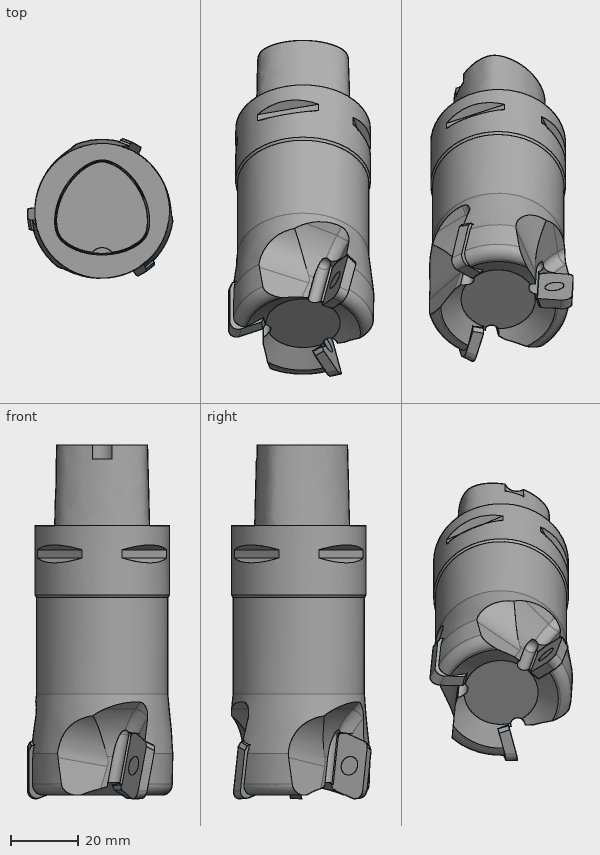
import cadquery as cq
import math

TOTAL_LENGTH = 105.01
SHANK_LENGTH = 24.0
COLLAR_EDGE_Z = -20.5
NECK_TOP_Z = -21.3
FLARE_TOP_Z = -49.9
FLARE_END_Z = -67.5
RIM_Z = -79.9
TIP_Z = SHANK_LENGTH - TOTAL_LENGTH

COLLAR_RADIUS = 40.0 / 2
NECK_RADIUS = 39.0 / 2
HEAD_RADIUS = 21.22
RIM_RADIUS = 20.9
RIM_FILLET = 3.3
DISH_RADIUS = 17.0
DISH_FLOOR_RADIUS = 11.0
DISH_FLOOR_Z = -76.2

SHANK_MEAN_RADIUS = 14.1
LOBE_HEIGHT = 1.0
LOBES = 3
LOBE_POINTS = 24
LOBE_AZIMUTH = math.radians(90.0)
SHANK_TAPER = 0.6
NOTCH_RADIUS = 3.6
NOTCH_CENTER_Y = -14.5
NOTCH_DEPTH = 4.15

GRIP_COUNT = 4
GRIP_FLOOR = 17.7
GRIP_CENTER_Z = -8.35
GRIP_FLOOR_HEIGHT = 2.4
GRIP_MOUTH_HEIGHT = 5.3

STATIONS = 3
STATION_ANGLE = 360.0 / STATIONS
OVERSIZE = 30.0

AXIAL_RAKE = math.radians(12.0)
TIP_Y = 0.91
RAKE_PLANE = cq.Plane(
    origin=(0, TIP_Y, TIP_Z),
    xDir=(-1, 0, 0),
    normal=(0, math.cos(AXIAL_RAKE), math.sin(AXIAL_RAKE)),
)

CUTTING_RADIUS = 22.1
INSERT_CENTER = (16.67, 10.05)
INSERT_END_ANGLE = math.radians(21.0)
INSERT_NOSE = 2.35
INSERT_CHAMFER = 0.7
INSERT_CHAMFER_HEIGHT = 1.4
INSERT_THICKNESS = 3.25
SIDE_RELIEF = math.radians(8.0)
END_RELIEF = math.radians(15.0)
SCREW_DIAMETER = 5.6

GULLET_AZIMUTH = 165.0
GULLET_FLOOR = 12.7
GULLET_LEAN = 5.0
GULLET_TILT = 9.8
GULLET_ARC_START_Z = -71.7
GULLET_ARC_RADIUS = 16.0

POCKET_WALL = 11.8
POCKET_KNEE_Z = -60.2
POCKET_SLOPE = math.radians(45.0)
POCKET_BEND = 20.0
POCKET_DEPTH = 45.0
POCKET_FILLET = 3.0
CORNER_TOP = 19.8

RELIEF_RADIUS = 4.1 / 2
RELIEF_OFFSET = 2.8
RELIEF_WALL = 11.6
RELIEF_TOP = 21.3


def around_axis(workplane, index, step=STATION_ANGLE):
    return workplane.rotate((0, 0, 0), (0, 0, 1), index * step)


def lobed_section(z, mean_radius):
    """Closed curve of constant width with three lobes, one of them toward +Y."""

    def point(t):
        angle = 2 * math.pi * t
        phase = LOBES * (angle - LOBE_AZIMUTH)
        support = mean_radius + LOBE_HEIGHT * math.cos(phase)
        slope = -LOBES * LOBE_HEIGHT * math.sin(phase)
        return (
            support * math.cos(angle) - slope * math.sin(angle),
            support * math.sin(angle) + slope * math.cos(angle),
            z,
        )

    points = [cq.Vector(*point(i / LOBE_POINTS)) for i in range(LOBE_POINTS)]
    edge = cq.Edge.makeSpline(points, periodic=True)
    return cq.Wire.assembleEdges([edge])


def make_shank():
    base = lobed_section(0, SHANK_MEAN_RADIUS)
    end = lobed_section(SHANK_LENGTH, SHANK_MEAN_RADIUS - SHANK_TAPER)
    shank = cq.Workplane(obj=cq.Solid.makeLoft([base, end], True))
    notch = (
        cq.Workplane("XY", origin=(0, NOTCH_CENTER_Y, SHANK_LENGTH))
        .circle(NOTCH_RADIUS)
        .extrude(-NOTCH_DEPTH)
    )
    return shank.cut(notch)


def make_blank():
    """Collar, neck and flared head, hollowed at the cutting end by a shallow dish."""
    nose = RIM_FILLET * (1 - math.sqrt(0.5))
    return (
        cq.Workplane("XZ")
        .moveTo(0, 0)
        .lineTo(COLLAR_RADIUS, 0)
        .lineTo(COLLAR_RADIUS, COLLAR_EDGE_Z)
        .lineTo(NECK_RADIUS, NECK_TOP_Z)
        .lineTo(NECK_RADIUS, FLARE_TOP_Z)
        .lineTo(HEAD_RADIUS, FLARE_END_Z)
        .lineTo(RIM_RADIUS, RIM_Z + RIM_FILLET)
        .threePointArc((RIM_RADIUS - nose, RIM_Z + nose), (RIM_RADIUS - RIM_FILLET, RIM_Z))
        .lineTo(DISH_RADIUS, RIM_Z)
        .lineTo(DISH_FLOOR_RADIUS, DISH_FLOOR_Z)
        .lineTo(0, DISH_FLOOR_Z)
        .close()
        .revolve(360, (0, 0, 0), (0, 1, 0))
    )


def make_grip_groove():
    """Straight trapezoidal groove across the +X side of the collar."""
    outside = COLLAR_RADIUS + OVERSIZE
    low = GRIP_CENTER_Z - GRIP_MOUTH_HEIGHT / 2
    return (
        cq.Workplane("XZ")
        .moveTo(GRIP_FLOOR, GRIP_CENTER_Z - GRIP_FLOOR_HEIGHT / 2)
        .lineTo(COLLAR_RADIUS, low)
        .lineTo(outside, low)
        .lineTo(outside, low + GRIP_MOUTH_HEIGHT)
        .lineTo(COLLAR_RADIUS, low + GRIP_MOUTH_HEIGHT)
        .lineTo(GRIP_FLOOR, GRIP_CENTER_Z + GRIP_FLOOR_HEIGHT / 2)
        .close()
        .extrude(COLLAR_RADIUS, both=True)
    )


def make_rake_clearance():
    """Block covering the space in front of the rake face."""
    side = 4 * OVERSIZE
    return cq.Workplane(RAKE_PLANE).rect(side, side).extrude(POCKET_DEPTH)


def make_gullet():
    """Cutter for the chip gullet, swept along a line that drops toward the insert."""
    arc_mid = GULLET_ARC_RADIUS * math.sqrt(0.5)
    center = GULLET_FLOOR + GULLET_ARC_RADIUS
    profile = (
        cq.Workplane("XZ")
        .moveTo(GULLET_FLOOR, -OVERSIZE)
        .lineTo(GULLET_FLOOR, 0)
        .threePointArc((center - arc_mid, arc_mid), (center, GULLET_ARC_RADIUS))
        .lineTo(center, -OVERSIZE)
        .close()
        .extrude(OVERSIZE, both=True)
    )
    return (
        profile.rotate((GULLET_FLOOR, 0, 0), (GULLET_FLOOR, 1, 0), -GULLET_LEAN)
        .rotate((0, 0, 0), (1, 0, 0), -GULLET_TILT)
        .translate((0, 0, GULLET_ARC_START_Z))
        .rotate((0, 0, 0), (0, 0, 1), GULLET_AZIMUTH)
        .intersect(make_rake_clearance())
    )


def make_pocket():
    """Cutter that clears the rake face and runs out through the flare at a slope."""
    run = OVERSIZE - POCKET_WALL
    pocket = (
        cq.Workplane("XZ", origin=(0, -OVERSIZE, 0))
        .moveTo(-POCKET_WALL, TIP_Z - OVERSIZE)
        .lineTo(-POCKET_WALL, POCKET_KNEE_Z)
        .lineTo(-OVERSIZE, POCKET_KNEE_Z + run * math.tan(POCKET_SLOPE))
        .lineTo(-OVERSIZE, TIP_Z - OVERSIZE)
        .close()
        .extrude(-2 * OVERSIZE)
    )
    knee = cq.NearestToPointSelector((-POCKET_WALL, 0, POCKET_KNEE_Z))
    pocket = pocket.edges(knee).fillet(POCKET_BEND).intersect(make_rake_clearance())
    middle_z = POCKET_KNEE_Z + run / 2 * math.tan(POCKET_SLOPE)
    middle_y = TIP_Y - (middle_z - TIP_Z) * math.tan(AXIAL_RAKE)
    foot = cq.NearestToPointSelector((-POCKET_WALL - run / 2, middle_y, middle_z))
    square_corner = (
        cq.Workplane(RAKE_PLANE)
        .moveTo(POCKET_WALL, -OVERSIZE)
        .lineTo(POCKET_WALL, CORNER_TOP)
        .lineTo(OVERSIZE, CORNER_TOP)
        .lineTo(OVERSIZE, -OVERSIZE)
        .close()
        .extrude(POCKET_FILLET)
    )
    return pocket.edges(foot).fillet(POCKET_FILLET).union(square_corner)


def make_relief():
    """Ball-ended cutter parallel to the rake face."""
    axis = RAKE_PLANE.yDir
    foot = RAKE_PLANE.toWorldCoords((RELIEF_WALL, 0, RELIEF_OFFSET))
    length = RELIEF_TOP - RELIEF_RADIUS
    shaft = cq.Solid.makeCylinder(RELIEF_RADIUS, length, foot, axis)
    ball = cq.Workplane("XY").sphere(RELIEF_RADIUS).translate(foot + axis * length)
    return ball.union(cq.Workplane(obj=shaft))


def insert_outline(depth):
    """Outline of the insert at a depth behind the rake face; it repeats after half a turn."""
    center_x, center_y = INSERT_CENTER
    half_width = CUTTING_RADIUS - center_x - depth * math.tan(SIDE_RELIEF)
    half_length = center_y - depth * math.tan(END_RELIEF)
    nose_x = half_width - INSERT_NOSE
    nose_y = INSERT_NOSE - half_length
    half_arc = (math.pi / 2 + INSERT_END_ANGLE) / 2
    mid_x = nose_x + INSERT_NOSE * math.cos(half_arc)
    mid_y = nose_y - INSERT_NOSE * math.sin(half_arc)
    end_x = nose_x - INSERT_NOSE * math.sin(INSERT_END_ANGLE)
    end_y = nose_y - INSERT_NOSE * math.cos(INSERT_END_ANGLE)
    blunt_x = INSERT_CHAMFER - half_width
    blunt_y = end_y + (end_x - blunt_x) * math.tan(INSERT_END_ANGLE)
    shoulder_y = blunt_y + INSERT_CHAMFER_HEIGHT
    return (
        cq.Workplane(RAKE_PLANE)
        .center(center_x, center_y)
        .workplane(offset=-depth)
        .moveTo(half_width, nose_y)
        .threePointArc((mid_x, mid_y), (end_x, end_y))
        .lineTo(blunt_x, blunt_y)
        .lineTo(-half_width, shoulder_y)
        .lineTo(-half_width, -nose_y)
        .threePointArc((-mid_x, -mid_y), (-end_x, -end_y))
        .lineTo(-blunt_x, -blunt_y)
        .lineTo(half_width, -shoulder_y)
        .close()
        .val()
    )


def make_insert_blank():
    """Insert without its hole, narrowing toward its seat for clearance."""
    faces = [insert_outline(0), insert_outline(INSERT_THICKNESS)]
    return cq.Workplane(obj=cq.Solid.makeLoft(faces, True))


def make_screw():
    """Plug that fills the insert hole; the holder carries it, flush with the rake face."""
    return (
        cq.Workplane(RAKE_PLANE)
        .center(*INSERT_CENTER)
        .circle(SCREW_DIAMETER / 2)
        .extrude(-INSERT_THICKNESS)
    )


insert = make_insert_blank().cut(make_screw())
inserts = [around_axis(insert, i) for i in range(STATIONS)]

holder = make_blank().union(make_shank())
for i in range(GRIP_COUNT):
    holder = holder.cut(around_axis(make_grip_groove(), i + 0.5, 360.0 / GRIP_COUNT))
for i in range(STATIONS):
    for cutter in (make_gullet(), make_pocket(), make_relief(), insert):
        holder = holder.cut(around_axis(cutter, i))

result = cq.Compound.makeCompound([holder.val(), *[body.val() for body in inserts]])